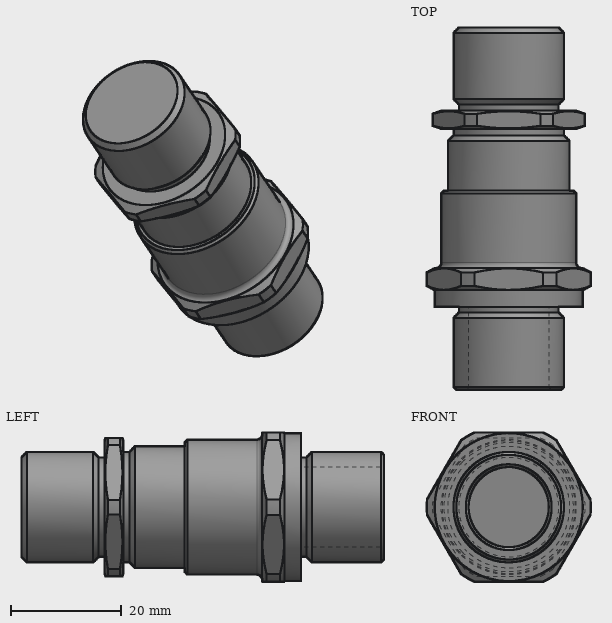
import cadquery as cq
import math

length = 65.5

thread_diameter = 20.0
neck_diameter = 18.0
body_diameter = 22.0
sleeve_diameter = 24.4
flange_diameter = 26.8

front_thread_end = 13.05
flange_start = 15.0
big_nut_start = 18.0
big_nut_end = 22.0
sleeve_end = 36.0
body_end = 46.0
small_nut_start = 47.1
small_nut_end = 50.5
rear_thread_start = 52.5

cone = 1.0
front_chamfer = 0.5
sleeve_chamfer = 0.5

big_flats = 27.0
small_flats = 25.0
corner_ratio = 1.1
big_face_diameter = 26.7
small_face_diameter = 24.05
big_nut_bevel = 0.8
small_nut_bevel = 0.62

bore_diameter = 14.5
bore_mouth_diameter = 15.5
bore_depth = flange_start


def turned_body():
    thread_r = thread_diameter / 2
    neck_r = neck_diameter / 2
    body_r = body_diameter / 2
    sleeve_r = sleeve_diameter / 2
    flange_r = flange_diameter / 2
    sleeve_fillet = cone
    fillet_mid = sleeve_fillet * (1 - math.sqrt(0.5))
    return (
        cq.Workplane("XY")
        .moveTo(0, 0)
        .lineTo(thread_r - front_chamfer, 0)
        .lineTo(thread_r, front_chamfer)
        .lineTo(thread_r, front_thread_end)
        .lineTo(neck_r, front_thread_end + cone)
        .lineTo(neck_r, flange_start)
        .lineTo(flange_r, flange_start)
        .lineTo(flange_r, big_nut_start)
        .lineTo(sleeve_r + sleeve_fillet, big_nut_start)
        .lineTo(sleeve_r + sleeve_fillet, big_nut_end)
        .threePointArc(
            (sleeve_r + fillet_mid, big_nut_end + fillet_mid),
            (sleeve_r, big_nut_end + sleeve_fillet),
        )
        .lineTo(sleeve_r, sleeve_end - sleeve_chamfer)
        .lineTo(sleeve_r - sleeve_chamfer, sleeve_end)
        .lineTo(body_r, sleeve_end)
        .lineTo(body_r, body_end - cone)
        .lineTo(thread_r, body_end)
        .lineTo(thread_r, small_nut_start)
        .lineTo(neck_r, small_nut_start)
        .lineTo(neck_r, rear_thread_start - cone)
        .lineTo(thread_r, rear_thread_start)
        .lineTo(thread_r, length - cone)
        .lineTo(thread_r - cone, length)
        .lineTo(0, length)
        .close()
        .revolve(360, (0, 0, 0), (0, 1, 0))
    )


def nut(flats, face_diameter, start, end, bevel):
    """Hexagon whose corners are turned down and bevelled on both faces."""
    corner_r = corner_ratio * flats / 2
    face_r = face_diameter / 2
    across_corners = flats / math.cos(math.pi / 6)
    hexagon = (
        cq.Workplane("XZ", origin=(0, start, 0))
        .polygon(6, across_corners)
        .extrude(start - end)
    )
    envelope = (
        cq.Workplane("XY")
        .polyline([
            (0, start),
            (face_r, start),
            (corner_r, start + bevel),
            (corner_r, end - bevel),
            (face_r, end),
            (0, end),
        ])
        .close()
        .revolve(360, (0, 0, 0), (0, 1, 0))
    )
    return hexagon.intersect(envelope)


def bore():
    bore_r = bore_diameter / 2
    mouth_r = bore_mouth_diameter / 2
    return (
        cq.Workplane("XY")
        .polyline([
            (0, 0),
            (mouth_r, 0),
            (bore_r, mouth_r - bore_r),
            (bore_r, bore_depth),
            (0, bore_depth),
        ])
        .close()
        .revolve(360, (0, 0, 0), (0, 1, 0))
    )


result = (
    turned_body()
    .union(nut(big_flats, big_face_diameter, big_nut_start, big_nut_end, big_nut_bevel))
    .union(nut(small_flats, small_face_diameter, small_nut_start, small_nut_end, small_nut_bevel))
    .cut(bore())
)